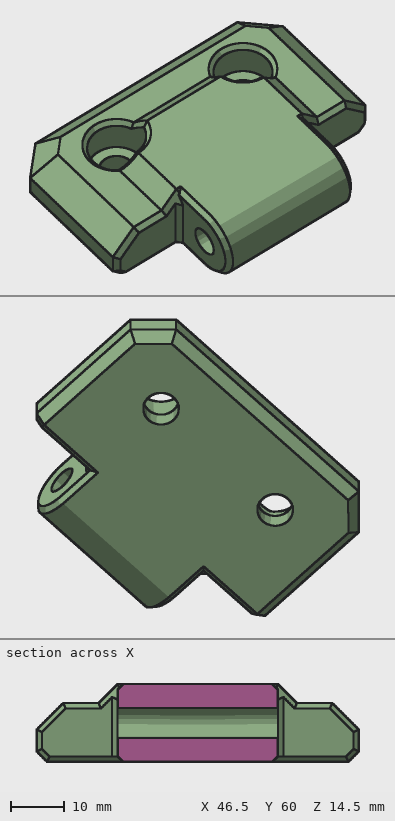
import cadquery as cq
import math

plate_length = 31.8
plate_width = 60.0
plate_height = 11.0
corner_chamfer = 6.0
top_chamfer = 5.0
bottom_chamfer = 2.0

total_height = 14.5
block_rise = total_height - plate_height
block_left = 10.7

total_length = 46.5
barrel_width = 29.8
barrel_radius = total_height / 2
pin_x = total_length - barrel_radius
pin_hole_diameter = 5.5
barrel_root_x = 24.0
edge_chamfer = 1.0

screw_x = 13.0
screw_spacing = 30.0
screw_hole_diameter = 6.6
counterbore_diameter = 11.0
counterbore_floor = 4.0
rim_chamfer = 0.9


def make_plate():
    half_width = plate_width / 2
    outline = [
        (plate_length, -half_width),
        (corner_chamfer, -half_width),
        (0, -half_width + corner_chamfer),
        (0, half_width - corner_chamfer),
        (corner_chamfer, half_width),
        (plate_length, half_width),
    ]
    plate = cq.Workplane("XY").polyline(outline).close().extrude(plate_height)
    plate = plate.faces(">Z").edges("not >X").chamfer(top_chamfer)
    return plate.faces("<Z").edges("not >X").chamfer(bottom_chamfer)


def make_block():
    """Block whose left side and two flanks lean inwards above the plate."""
    foot_length = plate_length - block_left
    foot_width = barrel_width + 2 * block_rise
    foot_center_x = block_left + foot_length / 2
    block = cq.Workplane("XY").center(foot_center_x, 0).rect(foot_length, foot_width).extrude(total_height)
    return block.faces(">Z").edges("not >X").chamfer(block_rise)


def make_barrel():
    barrel = (
        cq.Workplane("XZ")
        .moveTo(barrel_root_x, 0)
        .lineTo(pin_x, 0)
        .threePointArc((pin_x + barrel_radius, barrel_radius), (pin_x, total_height))
        .lineTo(barrel_root_x, total_height)
        .close()
        .extrude(barrel_width / 2, both=True)
    )
    return barrel.faces("<Y or >Y").edges("not <X").chamfer(edge_chamfer)


def make_corner_web():
    """Small triangular web between the plate end and the barrel's +Y side."""
    side_y = barrel_width / 2
    web = (
        cq.Workplane("XY", origin=(plate_length, side_y, edge_chamfer))
        .polyline([(0, 0), (edge_chamfer, 0), (0, edge_chamfer)])
        .close()
        .extrude(total_height - edge_chamfer)
    )
    flank_chamfer_plane = cq.Plane(
        origin=(plate_length - edge_chamfer, side_y, total_height),
        xDir=(0, 1, -1),
        normal=(math.sqrt(2), 1, 1),
    )
    space_above = cq.Workplane(flank_chamfer_plane).rect(plate_width, plate_width).extrude(total_height)
    return web.cut(space_above)


def cut_screw_holes(body):
    centers = [(screw_x, -screw_spacing / 2), (screw_x, screw_spacing / 2)]
    through = cq.Workplane("XY").pushPoints(centers).circle(screw_hole_diameter / 2).extrude(total_height)
    bore_plane = cq.Plane(origin=(0, 0, counterbore_floor), xDir=(-1, 0, 0), normal=(0, 0, 1))
    bores = cq.Workplane(bore_plane)
    bores = bores.pushPoints([(-x, -y) for x, y in centers])
    bores = bores.circle(counterbore_diameter / 2).extrude(total_height)
    body = body.cut(through).cut(bores)

    reach = counterbore_diameter / 2 + rim_chamfer
    for x, y in centers:
        rim_box = cq.selectors.BoxSelector(
            (x - reach, y - reach, (counterbore_floor + plate_height) / 2),
            (x + reach, y + reach, total_height + rim_chamfer),
        )
        rim = body.faces("%CYLINDER").edges("not |Z").edges(rim_box)
        body = rim.chamfer(rim_chamfer)
    return body


body = make_plate().union(make_block())
body = body.faces(">X").edges().chamfer(edge_chamfer)
body = cut_screw_holes(body)

web = make_corner_web()
body = body.union(make_barrel()).union(web).union(web.mirror("XZ"))

pin_hole = (
    cq.Workplane("XZ", origin=(pin_x, 0, barrel_radius))
    .circle(pin_hole_diameter / 2)
    .extrude(barrel_width, both=True)
)
result = body.cut(pin_hole)